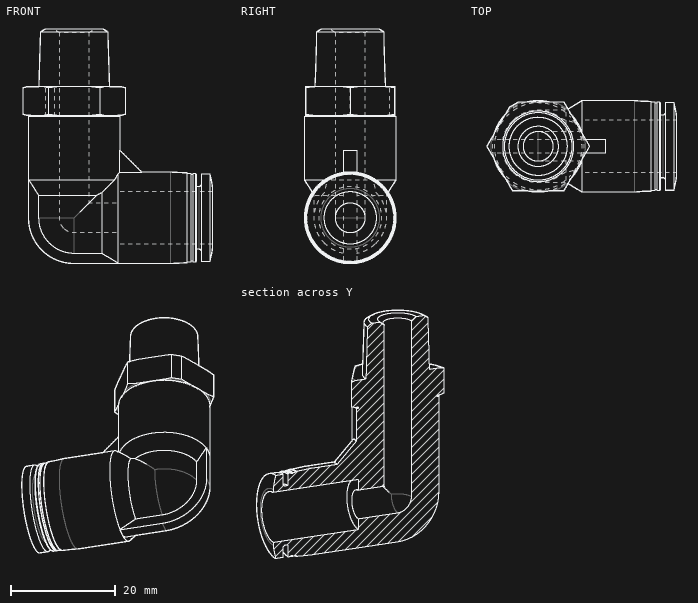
import cadquery as cq
import math

body_radius = 17.5 / 2
elbow_radius = 6.9
bore_radius = 5.7 / 2
total_height = 44.75
total_length = 36.2

stud_top = total_height - body_radius
stud_cone_start = 4.3
stud_cone_end = 7.2
stud_body_top = 19.35
hex_bottom = 19.5
hex_top = 25.0
collar_radius = 8.32
hex_corner_radius = 9.8
hex_face_radius = 9.0
hex_chamfer_height = 0.22
hex_cut_distance = 9.2
hex_cut_angle = 120
stud_root_radius = 6.75
stud_tip_radius = 6.45
stud_chamfer = 0.6
stud_face_radius = 5.55
countersink_radius = 3.85
countersink_depth = 0.7

port_end = total_length - hex_corner_radius
port_cone_start = 5.3
port_cone_end = 8.35
crown_start = 18.35
body_end = 21.5
body_end_radius = 8.6
ring_radius = 8.45
groove_radius = 8.3
groove_start = 22.3
groove_end = 22.6
rings_end = 23.3
ring_chamfer = 0.2
neck_radius = 12.0 / 2
flare_start = 23.75
flange_start = 24.25
flange_radius = 16.8 / 2
flange_rim_end = 25.85
flange_face_radius = 5.6
dome_bulge = 0.065
flange_fillet = flange_start - flare_start
tube_radius = 10.0 / 2

web_thickness = 2.6
gusset_reach = 12.85


def cylinder_z(radius, bottom, top):
    return cq.Workplane("XY").workplane(offset=bottom).circle(radius).extrude(top - bottom)


def cylinder_x(radius, start, end):
    return cq.Workplane("YZ").workplane(offset=start).circle(radius).extrude(end - start)


def revolve_z(points):
    """Turn an outline of (radius, height) points about the Z axis."""
    return cq.Workplane("XZ").polyline(points).close().revolve(360, (0, 0), (0, 1))


def make_stud_leg():
    return revolve_z([
        (0, 0),
        (elbow_radius, 0),
        (elbow_radius, stud_cone_start),
        (body_radius, stud_cone_end),
        (body_radius, stud_body_top),
        (collar_radius, stud_body_top),
        (collar_radius, hex_top),
        (stud_root_radius, hex_top),
        (stud_tip_radius, stud_top - stud_chamfer),
        (stud_face_radius, stud_top),
        (0, stud_top),
    ])


def make_hex():
    """Hexagon with two corners on the X axis and its corners chamfered at both ends.

    The corner towards -X and +Y is cut back to a narrow flat over the full height.
    """
    height = hex_top - hex_bottom
    prism = cq.Workplane("XY").workplane(offset=hex_bottom).polygon(6, 2 * hex_corner_radius).extrude(height)
    envelope = revolve_z([
        (0, hex_bottom),
        (hex_face_radius, hex_bottom),
        (hex_corner_radius, hex_bottom + hex_chamfer_height),
        (hex_corner_radius, hex_top - hex_chamfer_height),
        (hex_face_radius, hex_top),
        (0, hex_top),
    ])
    corner_cutter = (
        cq.Workplane("XY")
        .box(hex_corner_radius, hex_corner_radius, height, centered=(False, True, False))
        .translate((hex_cut_distance, 0, hex_bottom))
        .rotate((0, 0, 0), (0, 0, 1), hex_cut_angle)
    )
    return prism.intersect(envelope).cut(corner_cutter)


def make_port_leg():
    """Tube port with its end rings, release-collar neck and domed flange."""
    flare_mid = (
        flare_start + flange_fillet * math.sin(math.pi / 4),
        neck_radius + flange_fillet * (1 - math.cos(math.pi / 4)),
    )
    dome_mid = ((flange_rim_end + port_end) / 2 + dome_bulge, (flange_radius + flange_face_radius) / 2)
    outline = (
        cq.Workplane("XZ")
        .moveTo(0, 0)
        .lineTo(0, elbow_radius)
        .lineTo(port_cone_start, elbow_radius)
        .lineTo(port_cone_end, body_radius)
        .lineTo(crown_start, body_radius)
        .lineTo(body_end, body_end_radius)
        .lineTo(body_end, ring_radius)
        .lineTo(groove_start, ring_radius)
        .lineTo(groove_start, groove_radius)
        .lineTo(groove_end, groove_radius)
        .lineTo(groove_end, ring_radius)
        .lineTo(rings_end - ring_chamfer, ring_radius)
        .lineTo(rings_end, ring_radius - ring_chamfer)
        .lineTo(rings_end, neck_radius)
        .lineTo(flare_start, neck_radius)
        .threePointArc(flare_mid, (flange_start, neck_radius + flange_fillet))
        .lineTo(flange_start, flange_radius)
        .lineTo(flange_rim_end, flange_radius)
        .threePointArc(dome_mid, (port_end, flange_face_radius))
        .lineTo(port_end, 0)
        .close()
    )
    return outline.revolve(360, (0, 0), (1, 0))


def make_web():
    """Flat plate around the outside of the bend, plus the gusset inside it."""
    arc_mid = -body_radius * math.sin(math.pi / 4)
    outline = (
        cq.Workplane("XZ")
        .moveTo(-body_radius, stud_cone_end)
        .lineTo(-body_radius, 0)
        .threePointArc((arc_mid, arc_mid), (0, -body_radius))
        .lineTo(port_cone_end, -body_radius)
        .lineTo(port_cone_end, 0)
        .lineTo(gusset_reach, 0)
        .lineTo(gusset_reach, body_radius)
        .lineTo(body_radius, gusset_reach)
        .lineTo(0, gusset_reach)
        .lineTo(0, stud_cone_end)
        .close()
    )
    return outline.extrude(web_thickness / 2, both=True)


def make_passage():
    """Bore through both legs, countersunk at the stud and widened for the tube."""
    countersink = revolve_z([
        (0, stud_top - countersink_depth),
        (bore_radius, stud_top - countersink_depth),
        (countersink_radius, stud_top),
        (0, stud_top),
    ])
    return (
        cylinder_z(bore_radius, 0, stud_top)
        .union(cylinder_x(bore_radius, 0, port_end))
        .union(cq.Workplane("XY").sphere(bore_radius))
        .union(cylinder_x(tube_radius, port_cone_end, port_end))
        .union(countersink)
    )


elbow = make_stud_leg().union(make_port_leg()).union(cq.Workplane("XY").sphere(elbow_radius))
result = elbow.union(make_hex()).union(make_web()).cut(make_passage())